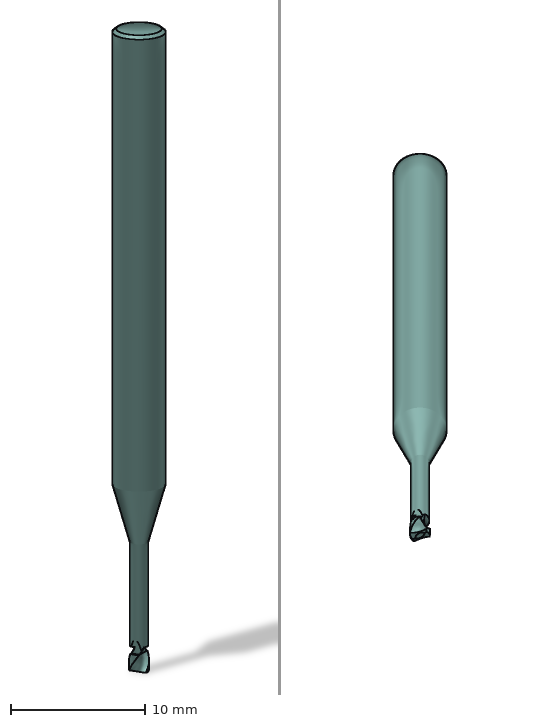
import cadquery as cq

TOTAL_LENGTH = 50.0
SHANK_RADIUS = 2.0
SHANK_CHAMFER_HEIGHT = 0.25
SHANK_CHAMFER_WIDTH = 0.3
TAPER_TOP_Z = 14.6
TAPER_BOTTOM_Z = 10.1
NECK_RADIUS = 0.7

HEAD_RADIUS = 0.75
HEAD_LENGTH = 1.5
CORNER_RADIUS = 0.2
DISH_RADIUS = 0.45
DISH_DEPTH = 0.1
RELIEF_HALF_WIDTH = 0.75
RELIEF_RISE = 0.2

FLUTE_COUNT = 2
FLUTE_RADIUS = 3.0
CORE_RADIUS = 0.3
FLUTE_START_ANGLE = -80.0
TWIST_PER_UNIT = 56.0
FLUTE_END_Z = 2.05

RUNOUT_ANGLE = -80.0
RUNOUT_TOP_Z = 2.65
RUNOUT_FOOT_RADIUS = 0.5


def make_flute(start_angle):
    """Return the material removed by one helical flute that starts at the given angle."""
    flute_offset = CORE_RADIUS + FLUTE_RADIUS
    return (
        cq.Workplane("XY")
        .moveTo(flute_offset, 0)
        .circle(FLUTE_RADIUS)
        .twistExtrude(FLUTE_END_Z, TWIST_PER_UNIT * FLUTE_END_Z)
        .rotate((0, 0, 0), (0, 0, 1), start_angle)
    )


def make_runout(angle):
    """Return the wedge removed from the neck by one sloping flat facing the given angle."""
    return (
        cq.Workplane("XZ")
        .polyline([
            (RUNOUT_FOOT_RADIUS, HEAD_LENGTH),
            (HEAD_RADIUS, HEAD_LENGTH),
            (HEAD_RADIUS, RUNOUT_TOP_Z),
            (NECK_RADIUS, RUNOUT_TOP_Z),
        ])
        .close()
        .extrude(HEAD_RADIUS, both=True)
        .rotate((0, 0, 0), (0, 0, 1), angle)
    )


def make_shank(flutes, runouts):
    """Return the chamfered shank with its taper and neck, down to the cutting head."""
    blank = cq.Workplane("YZ").polyline([
        (0, HEAD_LENGTH),
        (-NECK_RADIUS, HEAD_LENGTH),
        (-NECK_RADIUS, TAPER_BOTTOM_Z),
        (-SHANK_RADIUS, TAPER_TOP_Z),
        (-SHANK_RADIUS, TOTAL_LENGTH - SHANK_CHAMFER_HEIGHT),
        (-SHANK_RADIUS + SHANK_CHAMFER_WIDTH, TOTAL_LENGTH),
        (0, TOTAL_LENGTH),
    ]).close().revolve()
    for cutter in flutes + runouts:
        blank = blank.cut(cutter)
    return blank


def make_end_relief():
    """Return the wedges below the end face, on both sides of the line of the teeth."""
    return cq.Workplane("YZ").polyline([
        (0, 0),
        (RELIEF_HALF_WIDTH, RELIEF_RISE),
        (RELIEF_HALF_WIDTH, -RELIEF_RISE),
        (-RELIEF_HALF_WIDTH, -RELIEF_RISE),
        (-RELIEF_HALF_WIDTH, RELIEF_RISE),
    ]).close().extrude(HEAD_RADIUS, both=True)


def make_cutting_head(flutes):
    """Return the fluted head with rounded corners and a dished, relieved end."""
    blank = cq.Workplane("XY").circle(HEAD_RADIUS).extrude(HEAD_LENGTH)
    blank = blank.faces("<Z").edges().fillet(CORNER_RADIUS)
    dish = cq.Workplane("XZ").polyline([
        (0, 0),
        (DISH_RADIUS, 0),
        (0, DISH_DEPTH),
    ]).close().revolve()
    head = blank.cut(dish).cut(make_end_relief())
    for flute in flutes:
        head = head.cut(flute)
    return head


turns = [i * 360 / FLUTE_COUNT for i in range(FLUTE_COUNT)]
flutes = [make_flute(FLUTE_START_ANGLE + turn) for turn in turns]
runouts = [make_runout(RUNOUT_ANGLE + turn) for turn in turns]
shank = make_shank(flutes, runouts)
cutting_head = make_cutting_head(flutes)

result = cq.Compound.makeCompound([shank.val(), cutting_head.val()])